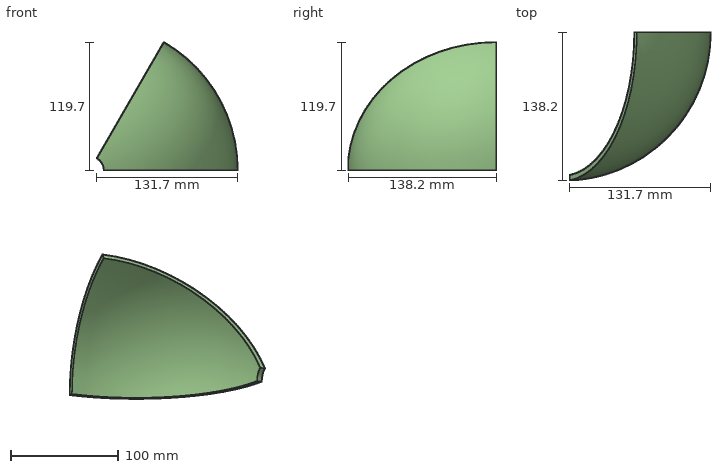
import cadquery as cq
import math

outer_radius = 138.2
wall = 5.0
hole_radius = 13.0
wedge_angle = 60.0
total_depth = 138.2

inner_radius = outer_radius - wall
front_y = -math.sqrt(outer_radius**2 - hole_radius**2)
inner_front_y = -math.sqrt(inner_radius**2 - hole_radius**2)

back_y = front_y + total_depth
outer_back_x = math.sqrt(outer_radius**2 - back_y**2)
inner_back_x = math.sqrt(inner_radius**2 - back_y**2)


def point_on_arc(radius):
    """Point halfway between the equator and the pole on a circle about the origin."""
    offset = radius * math.sqrt(0.5)
    return (offset, -offset)


wall_section = (
    cq.Workplane("XY")
    .moveTo(inner_back_x, back_y)
    .lineTo(outer_back_x, back_y)
    .threePointArc(point_on_arc(outer_radius), (hole_radius, front_y))
    .lineTo(hole_radius, inner_front_y)
    .threePointArc(point_on_arc(inner_radius), (inner_back_x, back_y))
    .close()
)

result = wall_section.revolve(wedge_angle, (0, 0, 0), (0, -1, 0))